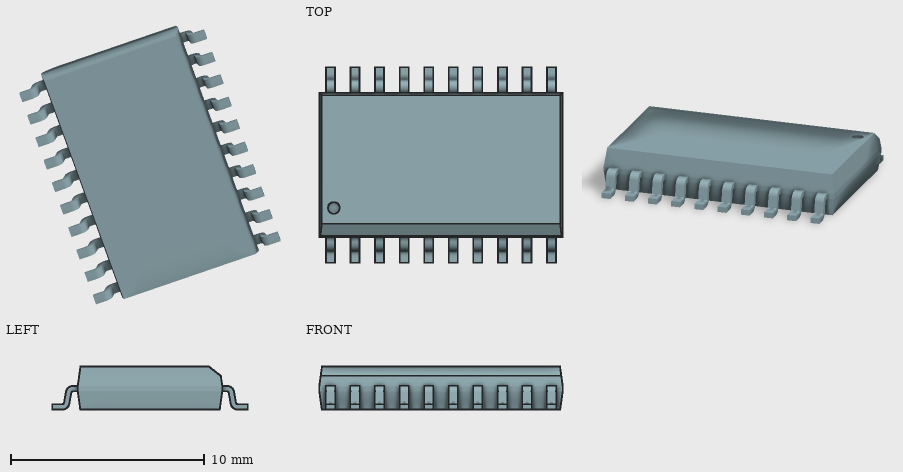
import cadquery as cq
import math

body_length = 12.6
body_width = 7.48
body_height = 2.24
belt_bottom = 0.95
belt_top = 1.23
draft_angle = 8.0

bevel_depth = 0.49
bevel_top_y = -3.04
bevel_bottom_y = -3.67

mark_x = -5.55
mark_y = -2.22
mark_diameter = 0.6
mark_depth = 0.2
mark_floor_radius = 0.1

leads_per_side = 10
lead_row_length = 11.43
lead_pitch = lead_row_length / (leads_per_side - 1)
lead_width = 0.48
lead_span = 10.13
lead_thickness = belt_top - belt_bottom
lead_slant = 10.0
knee_y = 4.3
inner_bend = 0.09
outer_bend = inner_bend + lead_thickness
lead_embed = 0.25


def drafted_half(start_z, height):
    """Half of the body, tapering inward from the belt; a negative height runs downward."""
    outline = cq.Workplane("XY").workplane(offset=start_z).rect(body_length, body_width)
    return outline.extrude(height, taper=draft_angle)


def make_body():
    belt_outline = cq.Workplane("XY").workplane(offset=belt_bottom).rect(body_length, body_width)
    belt = belt_outline.extrude(belt_top - belt_bottom)
    upper = drafted_half(belt_top, body_height - belt_top)
    lower = drafted_half(belt_bottom, -belt_bottom)
    return belt.union(upper).union(lower)


def make_bevel_cutter():
    """Wedge above the sloping bevel plane, carried past the body so that it cuts cleanly."""
    slope_run = bevel_top_y - bevel_bottom_y
    far_y = bevel_bottom_y - slope_run
    far_z = body_height - 2 * bevel_depth
    high_y = bevel_top_y + slope_run
    high_z = body_height + bevel_depth
    profile = cq.Workplane("YZ").polyline([(high_y, high_z), (far_y, far_z), (far_y, high_z)]).close()
    return profile.extrude(body_length, both=True)


def make_mark_cutter():
    floor_plane = cq.Workplane("XY", origin=(mark_x, mark_y, body_height - mark_depth))
    pocket = floor_plane.circle(mark_diameter / 2).extrude(mark_depth)
    return pocket.faces("<Z").edges().fillet(mark_floor_radius)


def make_lead():
    """One lead on the +Y side, centred on X = 0, with its foot resting on Z = 0."""
    slant = math.tan(math.radians(lead_slant))
    leg_thickness = lead_thickness / math.cos(math.radians(lead_slant))
    root_y = body_width / 2 - lead_embed
    toe_y = lead_span / 2

    def outer_y(z):
        return knee_y + (belt_top - z) * slant

    def inner_y(z):
        return outer_y(z) - leg_thickness

    knee_outer = (outer_y(belt_top), belt_top)
    knee_inner = (inner_y(belt_bottom), belt_bottom)
    ankle_inner = (outer_y(lead_thickness), lead_thickness)
    ankle_outer = (inner_y(0), 0)
    outline = [
        (root_y, belt_top),
        knee_outer,
        ankle_inner,
        (toe_y, lead_thickness),
        (toe_y, 0),
        ankle_outer,
        knee_inner,
        (root_y, belt_bottom),
    ]
    lead = cq.Workplane("YZ").polyline(outline).close().extrude(lead_width / 2, both=True)
    bends = (
        (knee_outer, outer_bend),
        (knee_inner, inner_bend),
        (ankle_inner, inner_bend),
        (ankle_outer, outer_bend),
    )
    for (y, z), radius in bends:
        lead = lead.edges("|X").edges(cq.selectors.NearestToPointSelector((0, y, z))).fillet(radius)
    return lead


result = make_body().cut(make_bevel_cutter()).cut(make_mark_cutter())

lead_right = make_lead()
lead_left = lead_right.mirror("XZ")
for index in range(leads_per_side):
    lead_x = index * lead_pitch - lead_row_length / 2
    for lead in (lead_right, lead_left):
        result = result.union(lead.translate((lead_x, 0, 0)))